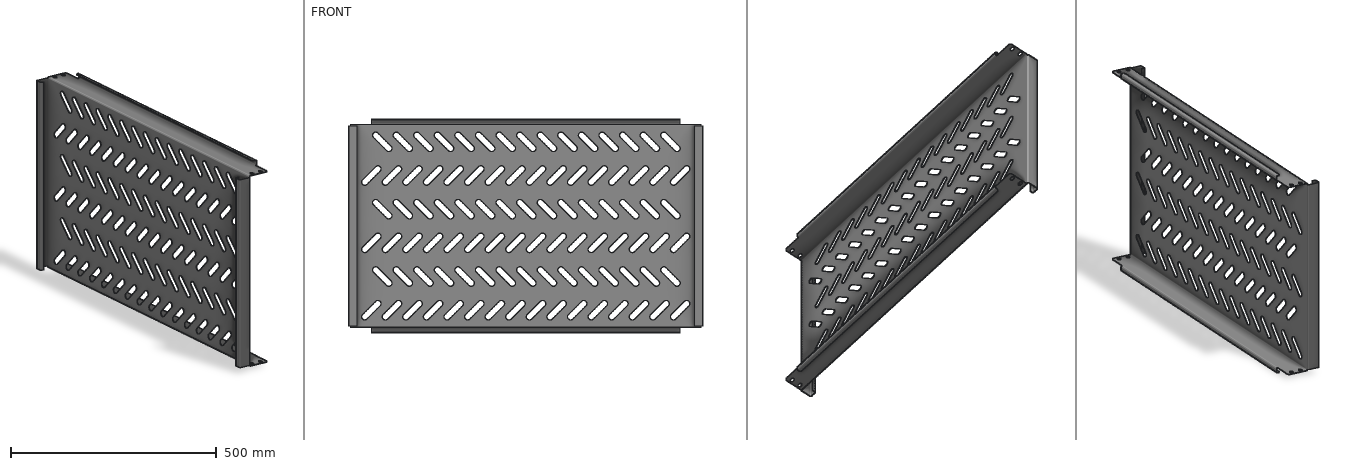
import cadquery as cq


thickness = 2.0
outer_bend_radius = 4.0
half_sheet = thickness / 2
middle_bend_radius = outer_bend_radius - half_sheet

overall_width = 860.0
channel_depth = 31.0
channel_base = 20.0
channel_lip = 10.0
channel_length = 486.0

flange_height = channel_length + 2 * outer_bend_radius
flange_width = overall_width - 2 * outer_bend_radius
overall_depth = 90.0
flange_reach = overall_depth - channel_depth
flange_corner_radius = 6.0

overall_height = 520.0
hem_width = 750.0
hem_lip = 11.0
hem_lip_chamfer = 4.0

mount_length = 12.0
mount_width = 7.5
mount_end_gap = 10.0
mount_front = 15.0
mount_spacing = 25.0

slot_length = 60.0
slot_width = 15.0
slot_pitch = 50.0
slot_row_pitch = 81.8
slot_row_count = 6
slots_per_falling_row = 15
slots_per_rising_row = 16
falling_row_shift = 1.5
slot_tilt = 45.0


def bent_sheet(plane, corners, width):
    """Sheet whose mid-surface follows square corners, extruded evenly about the plane."""
    path = [cq.Vector(*corner) for corner in corners]
    headings = [(end - start).normalized() for start, end in zip(path, path[1:])]

    def left_of(heading):
        return cq.Vector(-heading.y, heading.x)

    def edge_of_sheet(side):
        """Start point, bend arcs (begin, middle, end) and end point of one sheet face."""
        offset = side * half_sheet
        arcs = []
        for corner, before, after in zip(path[1:-1], headings, headings[1:]):
            inward = after - before
            centre = corner + inward * middle_bend_radius
            inside = left_of(before).dot(after) * side
            radius = middle_bend_radius - inside * half_sheet
            begin = centre - after * radius
            middle = centre - inward.normalized() * radius
            end = centre + before * radius
            arcs.append((begin, middle, end))
        start = path[0] + left_of(headings[0]) * offset
        finish = path[-1] + left_of(headings[-1]) * offset
        return start, arcs, finish

    left_start, left_arcs, left_finish = edge_of_sheet(1)
    right_start, right_arcs, right_finish = edge_of_sheet(-1)

    outline = cq.Workplane(plane).workplane(offset=-width / 2).moveTo(left_start.x, left_start.y)
    for begin, middle, end in left_arcs:
        outline = outline.lineTo(begin.x, begin.y)
        outline = outline.threePointArc((middle.x, middle.y), (end.x, end.y))
    outline = outline.lineTo(left_finish.x, left_finish.y)
    outline = outline.lineTo(right_finish.x, right_finish.y)
    for begin, middle, end in reversed(right_arcs):
        outline = outline.lineTo(end.x, end.y)
        outline = outline.threePointArc((middle.x, middle.y), (begin.x, begin.y))
    outline = outline.lineTo(right_start.x, right_start.y).close()
    return outline.extrude(width)


def panel_with_channels():
    """Panel and both side channels as one constant section along Z."""
    side = overall_width / 2 - half_sheet
    lip = overall_width / 2 - channel_base + half_sheet
    base = half_sheet - channel_depth
    lip_end = channel_lip - channel_depth
    corners = [
        (-lip, lip_end),
        (-lip, base),
        (-side, base),
        (-side, half_sheet),
        (side, half_sheet),
        (side, base),
        (lip, base),
        (lip, lip_end),
    ]
    return bent_sheet("XY", corners, channel_length)


def panel_with_flanges():
    """Panel and both flanges; the flange ends stop where the hem bends begin."""
    level = flange_height / 2 - half_sheet
    rear = flange_reach - outer_bend_radius
    corners = [(rear, -level), (half_sheet, -level), (half_sheet, level), (rear, level)]
    body = bent_sheet("YZ", corners, flange_width)
    return body.edges("|Z and >Y").fillet(flange_corner_radius)


def top_hem():
    """J-shaped hem folded up from the top flange and back towards the panel."""
    level = flange_height / 2 - half_sheet
    lip_level = overall_height / 2 - half_sheet
    rear = flange_reach - half_sheet
    hem_start = flange_reach - 2 * outer_bend_radius
    lip_end = flange_reach - hem_lip
    corners = [(hem_start, level), (rear, level), (rear, lip_level), (lip_end, lip_level)]
    hem = bent_sheet("YZ", corners, hem_width)
    lip_corners = cq.selectors.BoxSelector(
        (-hem_width, lip_end - half_sheet, lip_level - half_sheet),
        (hem_width, lip_end + half_sheet, lip_level + half_sheet),
    )
    return hem.edges("|Z").edges(lip_corners).chamfer(hem_lip_chamfer)


def mounting_slots():
    """Cutters through both flanges, two slots at each end."""
    x = flange_width / 2 - mount_end_gap
    centres = []
    for y in (mount_front, mount_front + mount_spacing):
        centres += [(-x, y), (x, y)]
    sketch = cq.Workplane("XY").pushPoints(centres).slot2D(mount_length, mount_width)
    return sketch.extrude(overall_height, both=True)


def panel_slots():
    """Cutters for the diagonal slots, alternating falling and rising rows."""
    top_row = slot_row_pitch * (slot_row_count - 1) / 2
    cutters = cq.Workplane("XZ")
    for row in range(slot_row_count):
        falling = row % 2 == 0
        count = slots_per_falling_row if falling else slots_per_rising_row
        tilt = -slot_tilt if falling else slot_tilt
        z = top_row - row * slot_row_pitch
        middle = falling_row_shift if falling else 0
        first = middle - slot_pitch * (count - 1) / 2
        centres = [(first + i * slot_pitch, z) for i in range(count)]
        row_sketch = cq.Workplane("XZ").pushPoints(centres).slot2D(slot_length, slot_width, tilt)
        cutters = cutters.add(row_sketch.extrude(outer_bend_radius, both=True))
    return cutters.combine()


hem = top_hem()
shelf = panel_with_channels().union(panel_with_flanges())
shelf = shelf.union(hem).union(hem.mirror("XY"))
result = shelf.cut(mounting_slots()).cut(panel_slots())